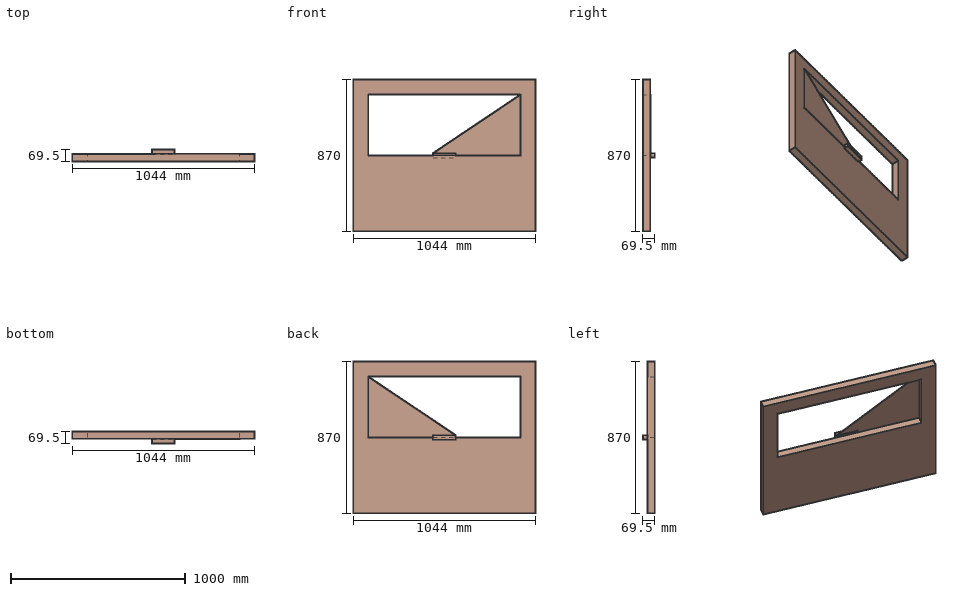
import cadquery as cq

panel_width = 1044.0
panel_height = panel_width * 5 / 6
panel_thickness = panel_width / 24

frame_margin = panel_width / 12
window_bottom = panel_height / 2
window_left = frame_margin
window_right = panel_width - frame_margin
window_top = panel_height - frame_margin

block_width = 131.0
block_height = 26.0
block_projection = 26.0
block_embed = 1.0
block_left = (panel_width - block_width) / 2
block_top = window_bottom + block_height / 2

sheet_thickness = 1.0
sheet_overlap = 1.0


def box(x, y, z, width, depth, height):
    """Box whose minimum corner is at (x, y, z)."""
    return cq.Workplane("XY").box(width, depth, height, centered=False).translate((x, y, z))


def make_panel():
    panel = box(0, 0, 0, panel_width, panel_thickness, panel_height)
    window = box(
        window_left, 0, window_bottom,
        window_right - window_left, panel_thickness, window_top - window_bottom,
    )
    return panel.cut(window)


def make_block():
    return box(
        block_left, panel_thickness - block_embed, window_bottom - block_height / 2,
        block_width, block_projection + block_embed, block_height,
    )


def make_sheet():
    """Sheet lying against the rear face, sloping from the block to the window corner."""
    return (
        cq.Workplane("XZ", origin=(0, panel_thickness + sheet_thickness, 0))
        .moveTo(block_left, block_top)
        .lineTo(window_right, window_top)
        .lineTo(window_right + sheet_overlap, window_top)
        .lineTo(window_right + sheet_overlap, window_bottom - sheet_overlap)
        .lineTo(block_left, window_bottom - sheet_overlap)
        .close()
        .extrude(sheet_thickness)
    )


result = make_panel().union(make_block()).union(make_sheet())